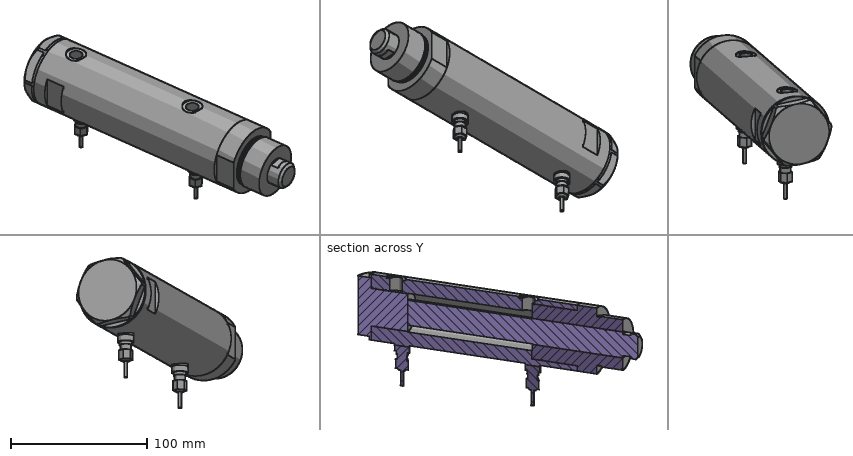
import cadquery as cq
import math


body_diameter = 52.0
body_radius = body_diameter / 2
bore_diameter = 30.0
rod_diameter = 20.0

cap_hex_length = 9.0
cap_across_flats = 46.0
cap_chamfer = 3.0
cap_turn = 7.8
cap_flange_length = 2.0
cap_spigot_length = 29.0

barrel_start = cap_hex_length + cap_flange_length
barrel_length = 164.4
barrel_end = barrel_start + barrel_length
nose_pocket_start = 139.2
nose_pocket_diameter = 43.0

flat_across = 46.0
flat_height = math.sqrt(body_diameter**2 - flat_across**2)
rear_flat_start = 21.0
rear_flat_length = 15.0

port_positions = (30.5, 136.4)
port_diameter = 9.5
port_seat_diameter = 15.0
port_seat_depth = 1.2

sensor_positions = (35.1, 139.6)
sensor_head_diameter = 12.0
sensor_seat_z = -27.1
sensor_head_bottom = -31.5
sensor_collar_diameter = 9.2
sensor_collar_bottom = -33.8
sensor_neck_diameter = 8.0
sensor_neck_bottom = -37.8
sensor_nut_across_flats = 9.0
sensor_nut_bottom = -44.9
sensor_cone_top_diameter = 8.0
sensor_cone_bottom_diameter = 4.5
sensor_cone_bottom = -46.2
cable_diameter = 2.5
cable_bottom = -58.3
cable_chamfer = 0.4

head_flange_length = 15.6
head_flange_end = barrel_end + head_flange_length
neck_diameter = 38.6
neck_length = 3.4
neck_end = head_flange_end + neck_length
groove_depth = 0.3
groove_offset = 1.3
groove_width = 0.8
groove_start = head_flange_end + groove_offset
groove_end = groove_start + groove_width
collar_diameter = 40.0
collar_length = 17.5
head_end = neck_end + collar_length

rod_end = 224.02
rod_chamfer = 2.0
rod_flat_across = 17.0
rod_flat_end = 218.0


def rod_along_x(start, end, diameter):
    """Round bar on the cylinder axis between two X positions."""
    return cq.Workplane("YZ", origin=(start, 0, 0)).circle(diameter / 2).extrude(end - start)


def rod_along_z(x, top, bottom, diameter):
    """Round bar hanging down at the given X between two heights."""
    return cq.Workplane("XY", origin=(x, 0, top)).circle(diameter / 2).extrude(bottom - top)


def hexagon_circle(across_flats):
    """Diameter of the circle through the corners of a hexagon."""
    return across_flats / math.cos(math.radians(30))


def make_cap():
    """Chamfered hexagon head, round flange and a spigot that fills the rear of the bore."""
    hexagon = (
        cq.Workplane("YZ")
        .polygon(6, hexagon_circle(cap_across_flats))
        .extrude(cap_hex_length)
        .rotate((0, 0, 0), (1, 0, 0), -cap_turn)
    )
    turned_blank = rod_along_x(0, cap_hex_length, body_diameter).faces("<X").chamfer(cap_chamfer)
    flange = rod_along_x(cap_hex_length, barrel_start, body_diameter)
    spigot = rod_along_x(barrel_start, barrel_start + cap_spigot_length, bore_diameter)
    return hexagon.intersect(turned_blank).union(flange).union(spigot)


def flat_cutter(start, length, side):
    """Block that leaves a wrench flat on the -Y (side = -1) or +Y (side = 1) face."""
    block_depth = body_radius - flat_across / 2
    return cq.Workplane("XY").box(length, block_depth, flat_height).translate(
        (start + length / 2, side * (flat_across / 2 + block_depth / 2), 0)
    )


def cut_flats(body, start, length):
    """Cut the pair of wrench flats on the -Y and +Y faces of a round body."""
    for side in (-1, 1):
        body = body.cut(flat_cutter(start, length, side))
    return body


def make_barrel():
    """Tube with a stepped bore, wrench flats, two top ports and two sensor bosses."""
    barrel = rod_along_x(barrel_start, barrel_end, body_diameter)
    for x in sensor_positions:
        barrel = barrel.union(rod_along_z(x, 0, sensor_seat_z, sensor_head_diameter))
    barrel = cut_flats(barrel, rear_flat_start, rear_flat_length)
    seat_floor = body_radius - port_seat_depth
    for x in port_positions:
        barrel = barrel.cut(rod_along_z(x, body_radius, 0, port_diameter))
        barrel = barrel.cut(rod_along_z(x, body_radius, seat_floor, port_seat_diameter))
    barrel = barrel.cut(rod_along_x(barrel_start, nose_pocket_start, bore_diameter))
    return barrel.cut(rod_along_x(nose_pocket_start, barrel_end, nose_pocket_diameter))


def make_head():
    """Rod guide: nose inside the barrel, flange with flats, grooved neck and collar."""
    flange = rod_along_x(barrel_end, head_flange_end, body_diameter)
    flange = cut_flats(flange, barrel_end, head_flange_length)
    groove_diameter = neck_diameter - 2 * groove_depth
    return (
        rod_along_x(nose_pocket_start, barrel_end, nose_pocket_diameter)
        .union(flange)
        .union(rod_along_x(head_flange_end, groove_start, neck_diameter))
        .union(rod_along_x(groove_start, groove_end, groove_diameter))
        .union(rod_along_x(groove_end, neck_end, neck_diameter))
        .union(rod_along_x(neck_end, head_end, collar_diameter))
        .cut(rod_along_x(nose_pocket_start, head_end, rod_diameter))
    )


def make_rod():
    """Piston rod from the cap spigot to the chamfered front end, with two wrench flats."""
    rod_start = barrel_start + cap_spigot_length
    rod = rod_along_x(rod_start, rod_end, rod_diameter).faces(">X").chamfer(rod_chamfer)
    flat_length = rod_flat_end - head_end
    flat_depth = (rod_diameter - rod_flat_across) / 2
    for side in (-1, 1):
        cutter = cq.Workplane("XY").box(flat_length, rod_diameter, flat_depth).translate(
            (head_end + flat_length / 2, 0, side * (rod_diameter - flat_depth) / 2)
        )
        rod = rod.cut(cutter)
    return rod


def make_sensor(x):
    """Proximity sensor: stepped round head, hexagon nut, tapered end and cable."""
    tip = rod_along_z(x, sensor_seat_z, sensor_head_bottom, sensor_head_diameter)
    collar = rod_along_z(x, sensor_head_bottom, sensor_collar_bottom, sensor_collar_diameter)
    neck = rod_along_z(x, sensor_collar_bottom, sensor_neck_bottom, sensor_neck_diameter)
    nut = (
        cq.Workplane("XY", origin=(x, 0, sensor_neck_bottom))
        .polygon(6, hexagon_circle(sensor_nut_across_flats))
        .extrude(sensor_nut_bottom - sensor_neck_bottom)
    )
    cone = (
        cq.Workplane("XY", origin=(x, 0, sensor_nut_bottom))
        .circle(sensor_cone_top_diameter / 2)
        .workplane(offset=sensor_cone_bottom - sensor_nut_bottom)
        .circle(sensor_cone_bottom_diameter / 2)
        .loft()
    )
    cable = rod_along_z(x, sensor_cone_bottom, cable_bottom, cable_diameter)
    cable = cable.faces("<Z").chamfer(cable_chamfer)
    return tip.union(collar).union(neck).union(nut).union(cone).union(cable)


cap = make_cap()
barrel = make_barrel()
head = make_head()
rod = make_rod()
sensors = [make_sensor(x) for x in sensor_positions]

result = cq.Compound.makeCompound(
    [cap.val(), barrel.val(), head.val(), rod.val(), *[sensor.val() for sensor in sensors]]
)